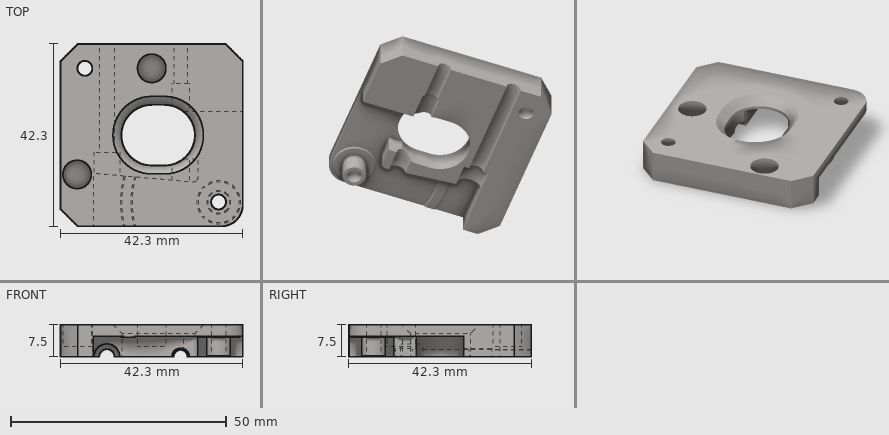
import cadquery as cq
import math

body_width = 42.3
body_height = 7.5
corner_chamfer = 4.0
corner_radius = 5.0

plate_thickness = 2.7
pad_height = 0.3

bolt_offset = 15.5
bolt_hole_diameter = 3.4

window_radius = 7.0
window_shift = 3.0
window_chamfer = 2.0
flank_angle = 45.0

magnet_diameter = 6.6
magnet_depth = 5.0
magnet_centers = [(-17.3, -9.1), (0.0, 15.5)]

recess_left = -13.5
block_right = 10.66
block_front_y = -10.9
block_tilt = 5.0
block_fillet = 1.1
gear_bay_left = 5.0
gear_bay_half_width = 5.5

pivot_boss_diameter = 5.5
pivot_boss_chamfer = 0.2
pivot_pad_radius = 4.75
track_inner_radius = 20.4
track_outer_radius = 22.5

screw_x = -10.4
screw_hole_radius = 1.75
spring_pocket_radius = 3.0
spring_pocket_end_y = -4.0
filament_x = 6.7
filament_hole_radius = 1.6
tube_radius = 2.0
tube_end_y = 12.0

half_width = body_width / 2
recess_roof = body_height - plate_thickness
pad_bottom = recess_roof - pad_height
pivot = (bolt_offset, -bolt_offset)
block_front_left_y = block_front_y + (block_right - recess_left) * math.tan(math.radians(block_tilt))


def cylinder(center, radius, bottom, top):
    """Vertical cylinder between two heights."""
    return cq.Workplane("XY", origin=(*center, bottom)).circle(radius).extrude(top - bottom)


def channel(x, radius, end_y):
    """Round channel along Y, from the front side to end_y, centred on the underside."""
    start = cq.Workplane("XZ", origin=(x, -half_width, 0))
    return start.circle(radius).extrude(-(end_y + half_width))


def make_body():
    """Square block with three chamfered corners and one rounded corner."""
    body = cq.Workplane("XY").rect(body_width, body_width).extrude(body_height)
    body = body.edges("|Z and (<X or >Y)").chamfer(corner_chamfer)
    rounded_corner = cq.selectors.NearestToPointSelector((half_width, -half_width, body_height / 2))
    return body.edges(rounded_corner).fillet(corner_radius)


def make_recess():
    """Open recess for the lever, the pivot and the gear bay."""
    outline = [
        (recess_left, -half_width),
        (half_width, -half_width),
        (half_width, gear_bay_half_width),
        (gear_bay_left, gear_bay_half_width),
        (gear_bay_left, -gear_bay_half_width),
        (block_right, -gear_bay_half_width),
        (block_right, block_front_y),
        (recess_left, block_front_left_y),
    ]
    recess = cq.Workplane("XY").polyline(outline).close().extrude(recess_roof)
    block_corner = cq.selectors.NearestToPointSelector((block_right, block_front_y, recess_roof / 2))
    return recess.edges(block_corner).fillet(block_fillet)


def sliding_disc(radius):
    """Disc around the pivot; its sloping flank widens upwards to the recess roof."""
    roof = cq.Workplane("XY", origin=(*pivot, recess_roof))
    return roof.circle(radius + pad_height).extrude(-pad_height, taper=flank_angle)


def make_lever_track(recess):
    """Raised arc on the recess roof, limited to the lever recess left of the pivot."""
    pad_floor = cq.Workplane("XY", origin=(*pivot, pad_bottom))
    inside = pad_floor.circle(track_inner_radius).extrude(pad_height, taper=flank_angle)
    lever_side = cq.Workplane("XY").rect(half_width, body_width).extrude(body_height)
    lever_side = lever_side.translate((-half_width / 2, 0, 0))
    return sliding_disc(track_outer_radius).cut(inside).intersect(lever_side).intersect(recess)


def make_pivot_boss():
    """Boss that carries the lever, with a chamfered lower rim and a wider sliding pad at its root."""
    boss = cylinder(pivot, pivot_boss_diameter / 2, 0, recess_roof)
    boss = boss.faces("<Z").edges().chamfer(pivot_boss_chamfer)
    return boss.union(sliding_disc(pivot_pad_radius))


def make_window():
    """Obround opening with a chamfered upper rim."""
    center = (window_shift / 2, 0)
    slot_length = window_shift + 2 * window_radius
    window = cq.Workplane("XY").center(*center).slot2D(slot_length, 2 * window_radius).extrude(body_height)
    rim = (
        cq.Workplane("XY", origin=(*center, body_height))
        .slot2D(slot_length + 2 * window_chamfer, 2 * (window_radius + window_chamfer))
        .extrude(-window_chamfer, taper=flank_angle)
    )
    return window.union(rim)


recess = make_recess()
result = make_body().cut(recess)

result = result.union(make_lever_track(recess))
result = result.union(make_pivot_boss())

result = result.cut(make_window())

for bolt_center in [(-bolt_offset, bolt_offset), pivot]:
    result = result.cut(cylinder(bolt_center, bolt_hole_diameter / 2, 0, body_height))

for magnet_center in magnet_centers:
    result = result.cut(cylinder(magnet_center, magnet_diameter / 2, body_height - magnet_depth, body_height))

result = result.cut(channel(screw_x, screw_hole_radius, half_width))
result = result.cut(channel(screw_x, spring_pocket_radius, spring_pocket_end_y))
result = result.cut(channel(filament_x, filament_hole_radius, half_width))
result = result.cut(channel(filament_x, tube_radius, tube_end_y))